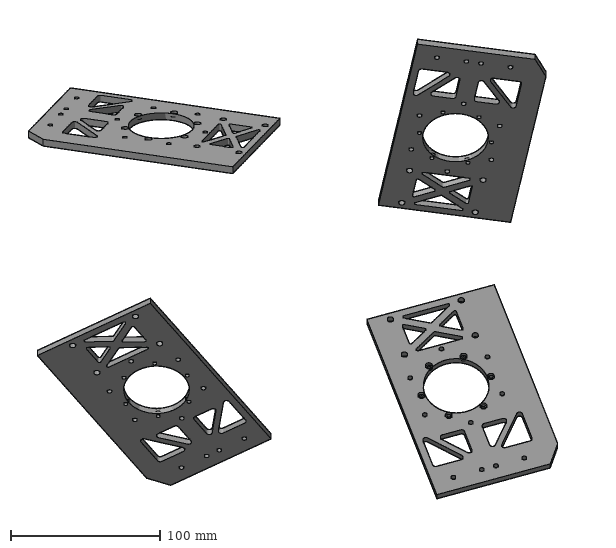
import cadquery as cq
import math

plate_length = 150.0
plate_width = 90.0
plate_thickness = 5.0
bore_from_left = 80.0
bore_from_back = 40.0
corner_cut_width = 10.0
corner_cut_angle = math.radians(55.0)
corner_cut_length = corner_cut_width * math.tan(corner_cut_angle)

plate_left = -bore_from_left
plate_right = plate_left + plate_length
plate_back = bore_from_back
plate_front = plate_back - plate_width

bore_diameter = 44.0
ring_count = 6
rim_screw_radius = 24.5
rim_screw_diameter = 2.6
rim_head_diameter = 4.7
rim_head_depth = 2.5
rim_start_angle = 30.0
outer_ring_radius = 31.5
outer_ring_start_angle = 0.0
small_hole_diameter = 3.1

left_hole_inset = 10.0
left_hole_x = plate_left + left_hole_inset
left_hole_inner_y = 5.0
mount_hole_y = 25.0

web_center_x = 50.0
web_half_length = 15.0
web_half_width = 19.0
web_hole_diameter = 4.1
web_rise_per_run = mount_hole_y / web_half_length
web_side_apex = web_half_length - web_half_width / web_rise_per_run
web_end_apex = 4.0
web_corner_radius = 1.0

window_left = -58.0
window_right = -35.0
window_outer_y = 35.0
outer_window_tip_x = -30.0
window_corner_radius = 2.0
rib_width = 4.0
rib_angle = math.radians(50.0)


def make_plate():
    """Rectangular plate with the front left corner cut off."""
    outline = [
        (plate_left, plate_back),
        (plate_right, plate_back),
        (plate_right, plate_front),
        (plate_left + corner_cut_length, plate_front),
        (plate_left, plate_front + corner_cut_width),
    ]
    return cq.Workplane("XY").polyline(outline).close().extrude(plate_thickness)


def make_triangle(corners, radius):
    """Full-height triangular cutter with rounded corners."""
    prism = cq.Workplane("XY").polyline(corners).close().extrude(plate_thickness)
    return prism.edges("|Z").fillet(radius)


def make_pins(points, diameter, bottom=0.0):
    """Round cutters at the given points, from a bottom level up to the top face."""
    pins = cq.Workplane("XY").workplane(offset=bottom).pushPoints(points)
    return pins.circle(diameter / 2).extrude(plate_thickness - bottom)


def ring_points(radius, start_angle):
    """Points spaced evenly on a circle around the bore."""
    step = 2 * math.pi / ring_count
    start = math.radians(start_angle)
    angles = [start + step * index for index in range(ring_count)]
    return [(radius * math.cos(angle), radius * math.sin(angle)) for angle in angles]


def cut_bore_and_rings(plate):
    """Central bore, counterbored rim screws and the outer ring of holes."""
    rim = ring_points(rim_screw_radius, rim_start_angle)
    outer_ring = ring_points(outer_ring_radius, outer_ring_start_angle)
    plate = plate.cut(make_pins([(0, 0)], bore_diameter))
    plate = plate.cut(make_pins(rim, rim_screw_diameter))
    plate = plate.cut(make_pins(rim, rim_head_diameter, plate_thickness - rim_head_depth))
    return plate.cut(make_pins(outer_ring, small_hole_diameter))


def cut_left_holes(plate):
    """Four small holes in a column."""
    points = []
    for side in (-1, 1):
        for y in (left_hole_inner_y, mount_hole_y):
            points.append((left_hole_x, side * y))
    return plate.cut(make_pins(points, small_hole_diameter))


def cut_left_windows(plate):
    """Two pairs of triangles, each pair separated by a diagonal rib."""
    run_per_rise = math.tan(rib_angle)
    outer_height = (outer_window_tip_x - window_left) / run_per_rise
    inner_height = (window_right - window_left) / run_per_rise
    outer_tip_y = window_outer_y - outer_height
    inner_base_y = outer_tip_y - rib_width / math.sin(rib_angle)
    for side in (-1, 1):
        outer_corners = [
            (window_left, side * window_outer_y),
            (outer_window_tip_x, side * window_outer_y),
            (window_left, side * outer_tip_y),
        ]
        inner_corners = [
            (window_right, side * inner_base_y),
            (window_left, side * inner_base_y),
            (window_right, side * (inner_base_y + inner_height)),
        ]
        plate = plate.cut(make_triangle(outer_corners, window_corner_radius))
        plate = plate.cut(make_triangle(inner_corners, window_corner_radius))
    return plate


def cut_web(plate):
    """Four triangles that leave an X-shaped web, and the holes at its corners."""
    end_half_length = (web_half_width - web_end_apex) / web_rise_per_run
    hole_points = []
    for side in (-1, 1):
        base_x = web_center_x + side * web_half_length
        base_y = side * web_half_width
        side_corners = [
            (web_center_x + side * web_side_apex, 0),
            (base_x, web_half_width),
            (base_x, -web_half_width),
        ]
        end_corners = [
            (web_center_x, side * web_end_apex),
            (web_center_x + end_half_length, base_y),
            (web_center_x - end_half_length, base_y),
        ]
        plate = plate.cut(make_triangle(side_corners, web_corner_radius))
        plate = plate.cut(make_triangle(end_corners, web_corner_radius))
        hole_points += [(base_x, mount_hole_y), (base_x, -mount_hole_y)]
    return plate.cut(make_pins(hole_points, web_hole_diameter))


result = make_plate()
result = cut_bore_and_rings(result)
result = cut_left_holes(result)
result = cut_left_windows(result)
result = cut_web(result)